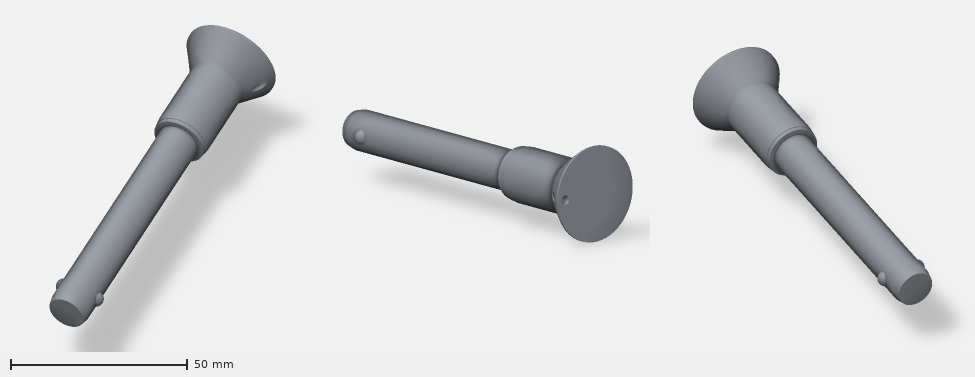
import cadquery as cq
import math


shank_radius = 6.0
shank_length = 70.8
tip_radius = 5.4
tip_taper_length = 2.7

handle_radius = 8.25
handle_length = 33.3
nose_radius = 7.8
nose_length = 1.25
shoulder_radius = 8.0
shoulder_taper_length = 2.2

head_radius = 14.0
rim_thickness = 0.7
flare_length = 9.1
flare_blend_radius = 2.4

lanyard_hole_diameter = 2.8
lanyard_hole_offset = 11.2

ball_radius = 2.25
ball_protrusion = 1.37
ball_distance_from_tip = 8.5


def pin_body():
    """Revolve the half profile of tip, shank, handle and flared head about Y."""
    tip_y = -shank_length
    rim_y = handle_length - rim_thickness
    flare_start_y = rim_y - flare_length

    flare_angle = math.atan2(head_radius - handle_radius, flare_length)
    tangent_length = flare_blend_radius * math.tan(flare_angle / 2)
    blend_start = (handle_radius, flare_start_y - tangent_length)

    def blend_point(angle):
        """Point of the blend arc where its tangent leans outward by the given angle."""
        return (
            blend_start[0] + flare_blend_radius * (1 - math.cos(angle)),
            blend_start[1] + flare_blend_radius * math.sin(angle),
        )

    profile = (
        cq.Workplane("XY")
        .moveTo(0, tip_y)
        .lineTo(tip_radius, tip_y)
        .lineTo(shank_radius, tip_y + tip_taper_length)
        .lineTo(shank_radius, 0)
        .lineTo(nose_radius, 0)
        .lineTo(nose_radius, nose_length)
        .lineTo(shoulder_radius, nose_length)
        .lineTo(handle_radius, nose_length + shoulder_taper_length)
        .lineTo(*blend_start)
        .threePointArc(blend_point(flare_angle / 2), blend_point(flare_angle))
        .lineTo(head_radius, rim_y)
        .lineTo(head_radius, handle_length)
        .lineTo(0, handle_length)
        .close()
    )
    return profile.revolve(360, (0, 0, 0), (0, 1, 0))


def locking_ball(side):
    """Ball standing out of the shank on the +X (side = 1) or -X (side = -1) side."""
    center_x = shank_radius + ball_protrusion - ball_radius
    center_y = ball_distance_from_tip - shank_length
    return cq.Workplane("XY").sphere(ball_radius).translate((side * center_x, center_y, 0))


def lanyard_hole():
    """Cylinder parallel to Y that pierces the flare from the handle side to the back face."""
    return (
        cq.Workplane("XZ")
        .center(lanyard_hole_offset, 0)
        .circle(lanyard_hole_diameter / 2)
        .extrude(-handle_length)
    )


result = pin_body()
for ball_side in (1, -1):
    result = result.union(locking_ball(ball_side))
result = result.cut(lanyard_hole())